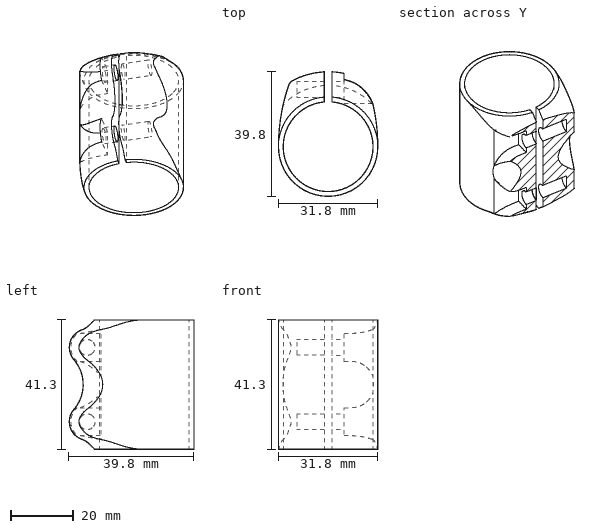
import cadquery as cq
import math

outer_radius = 31.75 / 2
bore_radius = 28.575 / 2
height = 41.275
top_z = height / 2

ridge_z = 11.85
ridge_crest_radius = 23.95
ridge_round = 5.95
waist_radius = 19.55
neck_round = 6.6

side_wall_radius = 60.0
corner_start_y = 19.4
corner_round = 4.0
corner_end_angle = math.radians(45)

slit_width = 2.38
screw_y = 18.2
clearance_diameter = 5.08
tapped_diameter = 5.0
tapped_end_x = -10.0
screw_seat_x = 5.08

head_recess_width = 8.9
recess_mouth_x = 14.75
outer_flare_round = 20.0


def point_on_circle(centre, radius, angle):
    """Point at the given angle (radians) on a circle."""
    return (centre[0] + radius * math.cos(angle), centre[1] + radius * math.sin(angle))


def direction(start, end):
    """Angle (radians) of the line from start to end."""
    return math.atan2(end[1] - start[1], end[0] - start[0])


def mirror_z(point):
    """Mirror image, below mid height, of a (radius, z) point."""
    return (point[0], -point[1])


def mirror_x(point):
    """Mirror image, on the -X side, of an (x, y) point."""
    return (-point[0], point[1])


def turned_envelope():
    """Solid of revolution with two ridges, a waist between them and 45 degree ends."""
    ridge_centre = (ridge_crest_radius - ridge_round, ridge_z)
    ridge_crest = (ridge_crest_radius, ridge_z)

    waist_gap = ridge_centre[0] - waist_radius
    waist_round = (ridge_z**2 + waist_gap**2 - ridge_round**2) / (2 * (ridge_round + waist_gap))
    waist_centre = (waist_radius + waist_round, 0)
    waist_end = point_on_circle(ridge_centre, ridge_round, direction(ridge_centre, waist_centre))

    diagonal = math.sqrt(2)
    neck_across = (outer_radius + top_z) / diagonal + neck_round
    ridge_across = (ridge_centre[0] + ridge_centre[1]) / diagonal
    ridge_along = (ridge_centre[0] - ridge_centre[1]) / diagonal
    centre_spacing = ridge_round + neck_round
    neck_along = ridge_along - math.sqrt(centre_spacing**2 - (neck_across - ridge_across) ** 2)
    neck_centre = ((neck_across + neck_along) / diagonal, (neck_across - neck_along) / diagonal)

    cone_angle = math.radians(225)
    ridge_angle = direction(neck_centre, ridge_centre)
    neck_start = point_on_circle(neck_centre, neck_round, cone_angle)
    neck_end = point_on_circle(neck_centre, neck_round, ridge_angle)
    neck_mid = point_on_circle(neck_centre, neck_round, (cone_angle + ridge_angle % math.tau) / 2)

    profile = (
        cq.Workplane("XZ")
        .moveTo(0, top_z)
        .lineTo(outer_radius, top_z)
        .lineTo(*neck_start)
        .threePointArc(neck_mid, neck_end)
        .threePointArc(ridge_crest, waist_end)
        .threePointArc((waist_radius, 0), mirror_z(waist_end))
        .threePointArc(mirror_z(ridge_crest), mirror_z(neck_end))
        .threePointArc(mirror_z(neck_mid), mirror_z(neck_start))
        .lineTo(outer_radius, -top_z)
        .lineTo(0, -top_z)
        .close()
    )
    return profile.revolve(360, (0, 0, 0), (0, 1, 0))


def plan_prism():
    """Prism of the plan outline: half circle, bowed side walls and rounded corners."""
    wall_centre_x = outer_radius - side_wall_radius
    wall_angle = math.asin(corner_start_y / side_wall_radius)
    wall_mid = point_on_circle((wall_centre_x, 0), side_wall_radius, wall_angle / 2)
    wall_end = point_on_circle((wall_centre_x, 0), side_wall_radius, wall_angle)

    corner_centre = point_on_circle((wall_centre_x, 0), side_wall_radius - corner_round, wall_angle)
    corner_mid = point_on_circle(corner_centre, corner_round, (wall_angle + corner_end_angle) / 2)
    corner_end = point_on_circle(corner_centre, corner_round, corner_end_angle)
    apex_y = corner_end[1] + corner_end[0] / math.tan(corner_end_angle)

    return (
        cq.Workplane("XY", origin=(0, 0, -top_z))
        .moveTo(-outer_radius, 0)
        .threePointArc((0, -outer_radius), (outer_radius, 0))
        .threePointArc(wall_mid, wall_end)
        .threePointArc(corner_mid, corner_end)
        .lineTo(0, apex_y)
        .lineTo(*mirror_x(corner_end))
        .threePointArc(mirror_x(corner_mid), mirror_x(wall_end))
        .threePointArc(mirror_x(wall_mid), (-outer_radius, 0))
        .close()
        .extrude(height)
    )


def cylinder_along_x(start_x, end_x, diameter, z):
    """Cylinder on a screw axis, from start_x to end_x."""
    return (
        cq.Workplane("YZ", origin=(start_x, screw_y, z))
        .circle(diameter / 2)
        .extrude(end_x - start_x)
    )


def screw_holes(z):
    """Tapped hole and clearance hole of one clamping screw."""
    tapped = cylinder_along_x(tapped_end_x, 0, tapped_diameter, z)
    clearance = cylinder_along_x(0, screw_seat_x, clearance_diameter, z)
    return tapped.union(clearance)


def head_recess(side):
    """Flat-floored recess for one screw head, on the +Z (side = 1) or -Z (side = -1) ridge."""
    half_width = head_recess_width / 2
    floor_y = screw_y - half_width
    inner_flare_round = ridge_z - half_width
    flare_start_x = recess_mouth_x - inner_flare_round
    eighth_turn = math.radians(45)

    inner_centre = (flare_start_x, -ridge_z)
    inner_mid = point_on_circle(inner_centre, inner_flare_round, eighth_turn)
    outer_centre = (flare_start_x, half_width + outer_flare_round)
    outer_turn = math.asin((outer_radius - flare_start_x) / outer_flare_round)
    outer_start_angle = math.radians(270)
    outer_mid = point_on_circle(outer_centre, outer_flare_round, outer_start_angle + outer_turn / 2)
    outer_end = point_on_circle(outer_centre, outer_flare_round, outer_start_angle + outer_turn)

    def place(point):
        """Turn the outline over for the recess below mid height."""
        return (point[0], side * point[1])

    outline = (
        cq.Workplane("XZ", origin=(0, floor_y, side * ridge_z))
        .moveTo(*place((screw_seat_x, -half_width)))
        .lineTo(*place((flare_start_x, -half_width)))
        .threePointArc(place(inner_mid), place((recess_mouth_x, -ridge_z)))
        .lineTo(*place((outer_radius, -ridge_z)))
        .lineTo(*place(outer_end))
        .threePointArc(place(outer_mid), place((flare_start_x, half_width)))
        .lineTo(*place((screw_seat_x, half_width)))
        .close()
    )
    return outline.extrude(floor_y - ridge_crest_radius)


bore = cq.Workplane("XY").circle(bore_radius).extrude(top_z, both=True)
slit = cq.Workplane("XY").box(slit_width, ridge_crest_radius, height, centered=(True, False, True))

result = turned_envelope().intersect(plan_prism()).cut(bore).cut(slit)
for side in (-1, 1):
    result = result.cut(screw_holes(side * ridge_z)).cut(head_recess(side))